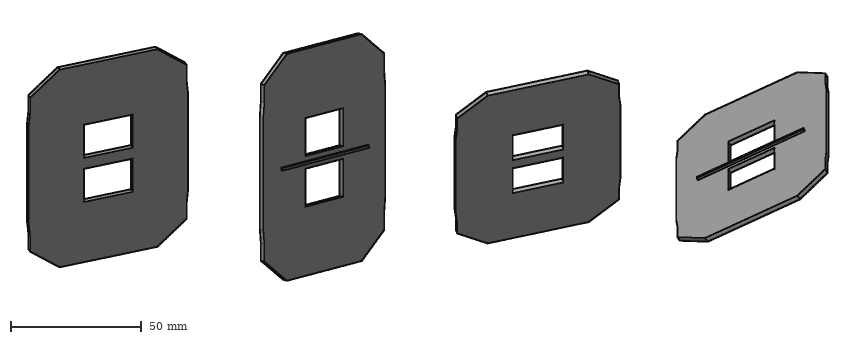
import cadquery as cq

plate_height = 90.0
plate_width = 65.2
plate_thickness = 2.0
end_width = 40.0
shoulder_width = 64.1
shoulder_z = 35.0
taper_outer_z = 28.0
taper_inner_z = 22.3

window_width = 20.0
window_height = 15.0
window_gap = 5.0

bar_length = 46.3
bar_height = 1.0
bar_thickness = 1.0


def make_plate():
    """Plate with cut corners and slightly bulging sides, from X = 0 to +X."""
    upper_right = [
        (plate_width / 2, taper_inner_z),
        (shoulder_width / 2, taper_outer_z),
        (shoulder_width / 2, shoulder_z),
        (end_width / 2, plate_height / 2),
    ]
    upper_left = [(-y, z) for y, z in reversed(upper_right)]
    upper_half = upper_right + upper_left
    lower_half = [(-y, -z) for y, z in upper_half]
    outline = upper_half + lower_half
    return cq.Workplane("YZ").polyline(outline).close().extrude(plate_thickness)


def make_windows():
    """Through-cutters for the two windows, mirrored about Z = 0."""
    window_z = (window_gap + window_height) / 2
    return (
        cq.Workplane("YZ")
        .pushPoints([(0, window_z), (0, -window_z)])
        .rect(window_width, window_height)
        .extrude(plate_thickness)
    )


def make_crossbar():
    """Thin bar standing out from the plate toward -X."""
    return cq.Workplane("YZ").rect(bar_length, bar_height).extrude(-bar_thickness)


result = make_plate().cut(make_windows()).union(make_crossbar())